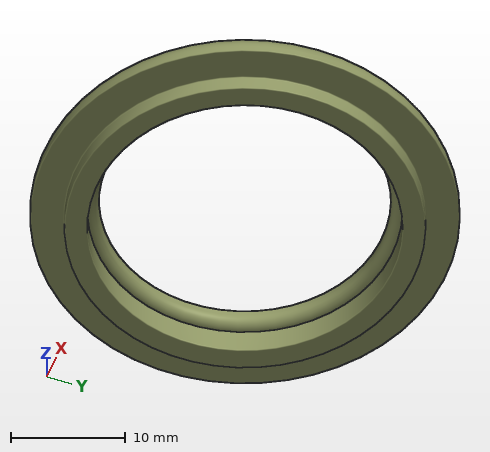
import cadquery as cq
import math

outer_radius = 37.4 / 2
collar_outer_radius = 31.4 / 2
recess_radius = 27.4 / 2
bore_radius = 25.4 / 2
total_height = 4.5
collar_height = 1.5

outer_round = 2.32
bore_round = 0.52
lip_thickness = 2.0
lip_round = recess_radius - bore_radius
edge_round = 0.1

lip_bottom = total_height - lip_thickness
arc_offset = lip_round * math.sqrt(0.5)
lip_arc_middle = (recess_radius - arc_offset, lip_bottom + lip_round - arc_offset)

section = (
    cq.Workplane("XZ")
    .moveTo(recess_radius, 0)
    .lineTo(collar_outer_radius, 0)
    .lineTo(collar_outer_radius, collar_height)
    .lineTo(outer_radius, collar_height)
    .lineTo(outer_radius, total_height)
    .lineTo(bore_radius, total_height)
    .lineTo(bore_radius, lip_bottom + lip_round)
    .threePointArc(lip_arc_middle, (recess_radius, lip_bottom))
    .close()
)
ring = section.revolve(360, (0, 0, 0), (0, 1, 0))


def round_circle(body, radius, height, rounding):
    """Fillet the circular edge of the given radius at the given height."""
    tolerance = 0.005
    edges = [
        edge
        for edge in body.edges("%CIRCLE").vals()
        if abs(edge.radius() - radius) < tolerance
        and abs(edge.arcCenter().z - height) < tolerance
    ]
    return body.newObject(edges).fillet(rounding)


rounded_corners = [
    (recess_radius, 0, edge_round),
    (collar_outer_radius, 0, edge_round),
    (collar_outer_radius, collar_height, edge_round),
    (outer_radius, collar_height, edge_round),
    (outer_radius, total_height, outer_round),
    (bore_radius, total_height, bore_round),
]
for corner_radius, corner_height, rounding in rounded_corners:
    ring = round_circle(ring, corner_radius, corner_height, rounding)

result = ring